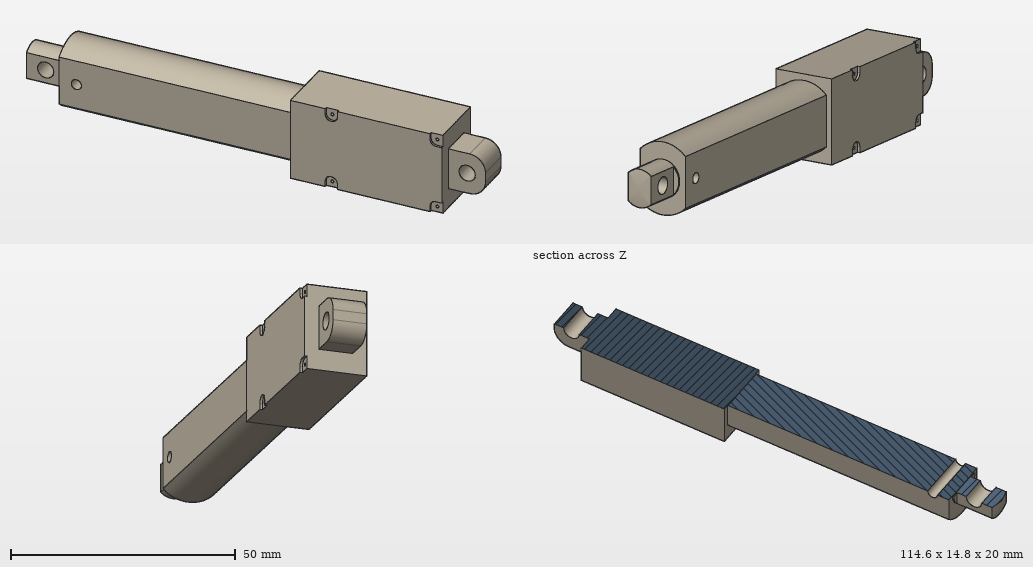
import cadquery as cq


rod_diameter = 8.95
rod_flat_width = 6.1
rod_length = 9.5
collar_length = 0.4
tip_height = 0.7
rod_eye_diameter = 4.0
rod_eye_x = -4.75

tube_diameter = 17.0
tube_flat_width = 12.0
tube_length = 57.8
tube_hole_diameter = 2.5
tube_hole_x = 4.25

housing_length = 37.4
housing_width = 14.8
housing_height = 20.0
housing_end_x = tube_length + housing_length

overall_length = 114.57
lug_length = overall_length - tip_height - rod_length - housing_end_x
lug_width = 8.0
lug_height = 10.2
lug_corner_radius = 3.9
lug_eye_diameter = 4.0
lug_eye_offset = 4.65
lug_eye_x = housing_end_x + lug_eye_offset

recess_radius = 1.5
recess_depth = 0.6
screw_inset = 1.4
screw_hole_diameter = 0.7
screw_hole_depth = 2.0
middle_screw_offset = 10.1
middle_screw_x = tube_length + middle_screw_offset
end_screw_x = housing_end_x - screw_inset
screw_z = housing_height / 2 - screw_inset


def block(x_start, length, width, height):
    """Box starting at x_start and centred on the X axis."""
    return cq.Workplane("XY").box(length, width, height).translate((x_start + length / 2, 0, 0))


def flatted_bar(x_start, length, diameter, flat_width):
    """Round bar along X with two flats facing -Y and +Y."""
    bar = cq.Workplane("YZ", origin=(x_start, 0, 0)).circle(diameter / 2).extrude(length)
    return bar.intersect(block(x_start, length, flat_width, diameter))


def cross_hole(x, z, diameter, y_start, depth):
    """Cylinder running from y_start toward +Y."""
    return cq.Workplane("XZ", origin=(x, y_start, z)).circle(diameter / 2).extrude(-depth)


def through_hole(x, diameter):
    """Cylinder on the centre plane that crosses the whole width of the actuator."""
    return cross_hole(x, 0, diameter, -housing_width / 2, housing_width)


def make_domed_shank():
    """Flatted shank whose flat end is replaced by a shallow dome with its crown on the axis."""
    shank = flatted_bar(-rod_length, rod_length, rod_diameter, rod_flat_width)
    rim = shank.faces("<X").edges().vals()
    crown = cq.Vector(-rod_length - tip_height, 0, 0)
    dome = cq.Face.makeNSidedSurface(rim, [crown])
    skin = cq.Shell.makeShell([dome, *shank.faces("not <X").vals()])
    return cq.Workplane(cq.Solid.makeSolid(skin))


def make_rod():
    collar_plane = cq.Workplane("YZ", origin=(-collar_length, 0, 0))
    collar = collar_plane.circle(rod_diameter / 2).extrude(collar_length)
    body = make_domed_shank().union(collar)
    return body.cut(through_hole(rod_eye_x, rod_eye_diameter))


def make_tube():
    body = flatted_bar(0, tube_length, tube_diameter, tube_flat_width)
    return body.cut(through_hole(tube_hole_x, tube_hole_diameter))


def make_lug():
    body = block(housing_end_x, lug_length, lug_width, lug_height)
    body = body.edges("|Y and >X").fillet(lug_corner_radius)
    return body.cut(through_hole(lug_eye_x, lug_eye_diameter))


def screw_recess(x, side, end_x):
    """Recess around a screw, open to the top (side = 1) or bottom (side = -1), running to end_x."""
    front_y = -housing_width / 2
    z = side * screw_z
    seat = cross_hole(x, z, 2 * recess_radius, front_y, recess_depth)
    mouth = (
        cq.Workplane("XZ", origin=(0, front_y, 0))
        .moveTo(x - recess_radius, z)
        .lineTo(x - recess_radius, side * housing_height / 2)
        .lineTo(end_x, side * housing_height / 2)
        .lineTo(end_x, z)
        .close()
        .extrude(-recess_depth)
    )
    hole = cross_hole(x, z, screw_hole_diameter, front_y, recess_depth + screw_hole_depth)
    return seat.union(mouth).union(hole)


def open_corner(side):
    """Part of an end recess below its mouth that runs out through the rear face of the housing."""
    corner = cq.Workplane("XY").box(screw_inset, recess_depth, recess_radius)
    return corner.translate(
        (
            housing_end_x - screw_inset / 2,
            -housing_width / 2 + recess_depth / 2,
            side * (screw_z - recess_radius / 2),
        )
    )


def make_housing():
    body = block(tube_length, housing_length, housing_width, housing_height)
    body = body.union(make_lug())
    for side in (1, -1):
        body = body.cut(screw_recess(middle_screw_x, side, middle_screw_x + recess_radius))
        body = body.cut(screw_recess(end_screw_x, side, housing_end_x))
        body = body.cut(open_corner(side))
    return body


rod = make_rod()
tube = make_tube()
housing = make_housing()

result = cq.Compound.makeCompound([rod.val(), tube.val(), housing.val()])